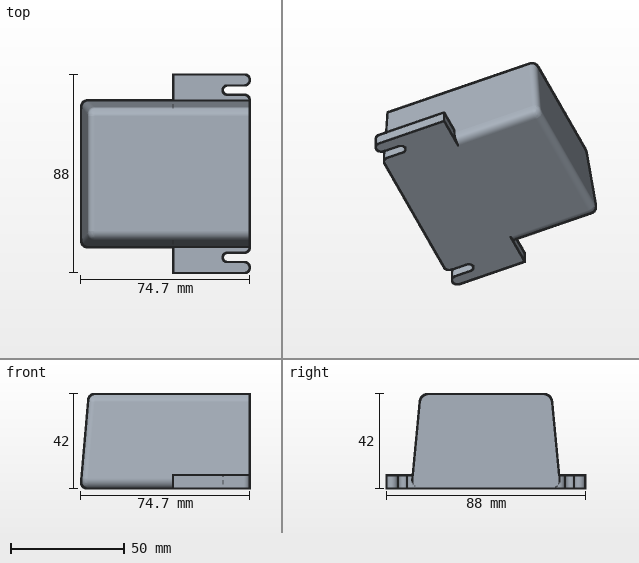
import cadquery as cq
import math

body_length = 75.0
base_width = 66.0
body_height = 42.0
top_width = 58.0
front_draft_angle = 5.0
side_fillet = 4.0
front_fillet = 3.0

overall_width = 88.0
tab_length = 34.0
tab_thickness = 6.0
slot_width = 4.0
slot_depth = 12.0
prong_width = 5.0
prong_radius = prong_width / 2

front_inset = body_height * math.tan(math.radians(front_draft_angle))
tab_outer_y = overall_width / 2
tab_inner_y = base_width / 2 - 2 * side_fillet
slot_outer_y = tab_outer_y - prong_width
slot_inner_y = slot_outer_y - slot_width
slot_center_y = (slot_outer_y + slot_inner_y) / 2
slot_arc_x = body_length - slot_depth + slot_width / 2
prong_arc_x = body_length - prong_radius


def make_body():
    """Drafted block with an upright back face, rounded on all but the back edges."""
    half_base = base_width / 2
    half_top = top_width / 2
    cross_section = [
        (-half_base, 0),
        (half_base, 0),
        (half_top, body_height),
        (-half_top, body_height),
    ]
    block = cq.Workplane("YZ").polyline(cross_section).close().extrude(body_length)
    front_wedge = (
        cq.Workplane("XZ")
        .polyline([(0, 0), (front_inset, body_height), (0, body_height)])
        .close()
        .extrude(half_base, both=True)
    )
    block = block.cut(front_wedge)
    block = block.edges("|X").fillet(side_fillet)
    return block.faces("<X").edges().fillet(front_fillet)


def make_tab():
    """Tab on the +Y side: an open slot between a full-round prong and a rounded corner."""
    return (
        cq.Workplane("XY")
        .moveTo(body_length - tab_length, tab_inner_y)
        .lineTo(body_length - tab_length, tab_outer_y)
        .lineTo(prong_arc_x, tab_outer_y)
        .threePointArc(
            (body_length, tab_outer_y - prong_radius),
            (prong_arc_x, slot_outer_y),
        )
        .lineTo(slot_arc_x, slot_outer_y)
        .threePointArc(
            (body_length - slot_depth, slot_center_y),
            (slot_arc_x, slot_inner_y),
        )
        .lineTo(prong_arc_x, slot_inner_y)
        .radiusArc((body_length, slot_inner_y - prong_radius), prong_radius)
        .lineTo(body_length, tab_inner_y)
        .close()
        .extrude(tab_thickness)
    )


tab = make_tab()
result = make_body().union(tab).union(tab.mirror("XZ"))